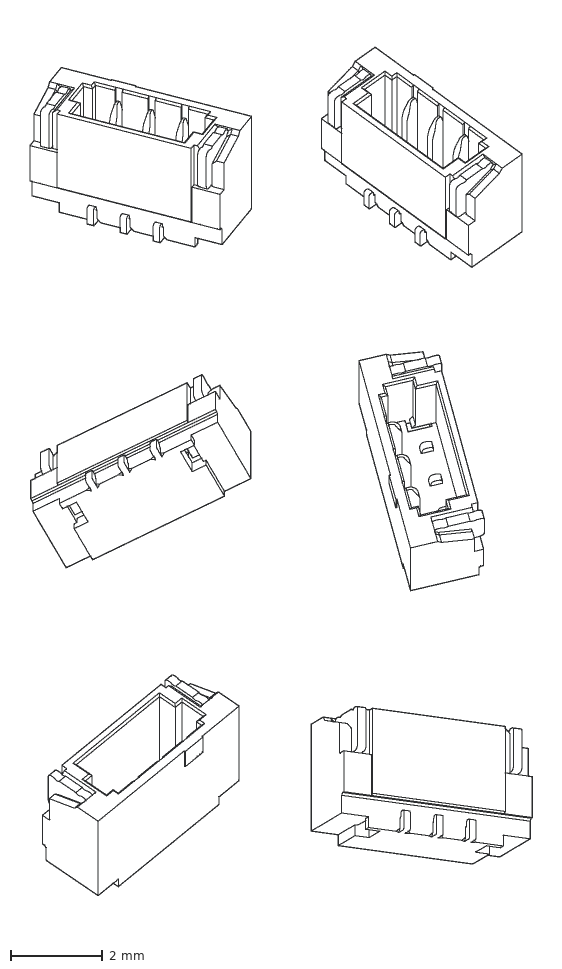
import cadquery as cq


length = 4.6
depth = 1.78
height = 2.7
foot_height = 0.25
foot_half = 1.64
core_front = -1.555
shelf_front = -1.66
shelf_top = 1.645
wall_front = -1.7
wall_half = 1.62
wall_edge_break = 0.04
overhang_z = 0.71
overhang_back = core_front - wall_edge_break
overhang_foot_z = 0.655

rib_left = -1.095
rib_width = 0.585
rib_height = 0.5
rib_depth = 0.028

floor_z = 0.46
narrow_half = 1.355
wide_half = 1.575
cavity_back = -0.26
cavity_front = -1.51
wide_back = -0.415
wide_front = -1.04
mouth_break = 0.05

opening_inner = 1.295
opening_back = -0.86
opening_front = -1.405
ramp_reach = 0.085
ramp_rise = 0.14

pocket_back = -0.615
slot_inner = 1.8
slot_outer = 2.01
lead_in = 0.1
cheek_break_width = 0.105
cheek_knee = (-0.705, 2.6)
cheek_nose = (-1.455, 2.35)
clip_inner = slot_inner
clip_width = 0.205
clip_front = rib_depth - depth
clip_bottom = 1.7
clip_top_radius = 0.09
clip_bottom_radius = 0.14
clip_back_radius = 0.085
dimple_starts = ((-0.75, -1), (-1.605, 1))
dimple_lip = 0.055
dimple_lip_drop = 0.02
dimple_lip_radius = 0.09
dimple_deepest = 0.1
dimple_length = 0.18
dimple_depth = 0.03

pitch = 0.8
pin_xs = (-pitch, 0, pitch)
pin_width = 0.155
groove_width = 0.175
groove_back = -0.21
blade_front = -0.58
blade_top = 2.405
blade_shoulder_z = 2.14
blade_straight_z = 1.84
tip_rear_low = (-0.25, 2.355)
tip_rear_high = (-0.3, blade_top)
tip_rear_radius = 0.055
tip_front_high = (-0.345, blade_top)
tip_front_low = (-0.432, 2.328)
tip_front_radius = 0.1
blade_nose = (-0.5, 2.155)
blade_bulge = (-0.555, 2.0)
blade_break_width = 0.05
contact_back = -1.007
contact_front = -1.293
contact_top = 0.69
contact_lean = 0.028
contact_back_radius = 0.1
contact_front_radius = 0.13
tail_back = -1.6
tail_top = 0.46
tail_step_z = 0.317
tail_radius = 0.06
tail_toe_radius = 0.045
tail_heel_radius = 0.045
flare_half = 0.17
flare_height = 0.087
flare_depth = 0.07
flare_angle = 45

clear = 0.23


def box(x0, x1, y0, y1, z0, z1):
    return cq.Workplane("XY").box(x1 - x0, y1 - y0, z1 - z0, centered=False).translate((x0, y0, z0))


def side_profile(x0, x1, points):
    """Prism along X with a (y, z) outline."""
    return cq.Workplane("YZ").workplane(offset=x0).polyline(points).close().extrude(x1 - x0)


def both_ends(solid):
    return solid.union(solid.mirror("YZ"))


def make_shell():
    half = length / 2
    core = box(-half, half, core_front, 0, foot_height, height)
    foot = box(-foot_half, foot_half, core_front, 0, 0, foot_height)
    shelf = side_profile(-half, half, [
        (core_front, overhang_foot_z),
        (overhang_back, overhang_z),
        (shelf_front, overhang_z),
        (shelf_front, shelf_top),
        (core_front, shelf_top),
    ])
    wall = side_profile(-wall_half, wall_half, [
        (core_front, overhang_foot_z),
        (overhang_back, overhang_z),
        (wall_front + wall_edge_break, overhang_z),
        (wall_front, overhang_z + wall_edge_break),
        (wall_front, height),
        (core_front, height),
    ])
    rib = box(rib_left, rib_left + rib_width, 0, rib_depth, height - rib_height, height)
    return core.union(foot).union(shelf).union(wall).union(rib)


def cavity_points(grow):
    """Cross-shaped cavity section in (x, y), enlarged all round by grow."""
    narrow = narrow_half + grow
    wide = wide_half + grow
    step_front = wide_front - grow
    step_back = wide_back + grow
    right = [
        (narrow, cavity_front - grow),
        (narrow, step_front),
        (wide, step_front),
        (wide, step_back),
        (narrow, step_back),
        (narrow, cavity_back + grow),
    ]
    left = [(-x, y) for x, y in reversed(right)]
    return right + left


def make_cavity():
    bore = cq.Workplane("XY").workplane(offset=floor_z).polyline(cavity_points(0)).close()
    bore = bore.extrude(height - floor_z)
    mouth = (
        cq.Workplane("XY").workplane(offset=height - mouth_break)
        .polyline(cavity_points(0)).close()
        .workplane(offset=mouth_break)
        .polyline(cavity_points(mouth_break)).close()
        .loft(ruled=True)
    )
    return bore.union(mouth)


def make_floor_opening():
    """Opening through the floor, widening to a notch in the end of the foot."""
    return (
        box(opening_inner, wide_half, opening_front, opening_back, 0, floor_z)
        .union(box(opening_inner, foot_half, opening_front, opening_back, 0, foot_height))
    )


def make_ramp():
    """Sloped ledge on the rear face of each front corner, just above the floor opening."""
    return side_profile(narrow_half, wide_half, [
        (wide_front, floor_z),
        (wide_front + ramp_reach, floor_z),
        (wide_front, floor_z + ramp_rise),
    ])


def make_pocket():
    """Clip slot with lead-in edges, and the sloped cheek outside it."""
    half = length / 2
    above = height + clear
    before = clip_front - clear
    cheek_x = slot_outer + cheek_break_width

    slot = box(slot_inner, slot_outer, before, pocket_back, shelf_top, above)
    cheek_front = box(slot_outer, half, before, cheek_nose[0], shelf_top, above)
    cheek = [
        (pocket_back, above),
        (pocket_back, height),
        cheek_knee,
        cheek_nose,
        (cheek_nose[0], above),
    ]
    cheek_top = side_profile(slot_outer, half, cheek)

    lowered = [(y, z - lead_in) for y, z in cheek]
    cheek_edge = (
        cq.Workplane("YZ").workplane(offset=slot_outer)
        .polyline(lowered).close()
        .workplane(offset=cheek_x - slot_outer)
        .polyline(cheek).close()
        .loft(ruled=True)
    )
    inner_edge = (
        cq.Workplane("XZ").workplane(offset=-pocket_back)
        .polyline([
            (slot_inner - lead_in, height),
            (slot_inner, height),
            (slot_inner, height - lead_in),
        ]).close()
        .extrude(pocket_back - before)
    )
    return slot.union(cheek_front).union(cheek_top).union(cheek_edge).union(inner_edge)


def make_clip():
    clip = box(clip_inner, clip_inner + clip_width, clip_front, pocket_back, clip_bottom, height)
    clip = clip.edges("|X and <Y and >Z").fillet(clip_top_radius)
    clip = clip.edges("|X and <Y and <Z").fillet(clip_bottom_radius)
    clip = clip.edges("|X and >Y and >Z").fillet(clip_back_radius)
    for start, toward in dimple_starts:
        dimple = (
            cq.Workplane("YZ").workplane(offset=clip_inner)
            .moveTo(start, height)
            .radiusArc((start + toward * dimple_lip, height - dimple_lip_drop), toward * dimple_lip_radius)
            .threePointArc(
                (start + toward * dimple_deepest, height - dimple_depth),
                (start + toward * dimple_length, height),
            )
            .close()
            .extrude(clip_width)
        )
        clip = clip.cut(dimple)
    return clip


def make_groove(x):
    """Guide groove in the rear cavity wall behind a terminal."""
    half = groove_width / 2
    return box(x - half, x + half, cavity_back - mouth_break, groove_back, floor_z, height)


def make_tail_flare(x):
    """Tapered lead-in at the foot of the front face, around a solder tail."""
    half = pin_width / 2
    upper = [(x + flare_half, 0), (x + half, flare_height), (x - half, flare_height), (x - flare_half, 0)]
    lower = [(x - half, -flare_height), (x + half, -flare_height)]
    return (
        cq.Workplane("XZ").workplane(offset=-core_front)
        .polyline(upper + lower).close()
        .extrude(-flare_depth, taper=flare_angle)
    )


def make_terminal(x):
    left = x - pin_width / 2
    plane = cq.Workplane("YZ").workplane(offset=left)

    blade = (
        plane.moveTo(groove_back, 0)
        .lineTo(groove_back, blade_shoulder_z)
        .lineTo(*tip_rear_low)
        .radiusArc(tip_rear_high, -tip_rear_radius)
        .lineTo(*tip_front_high)
        .radiusArc(tip_front_low, -tip_front_radius)
        .lineTo(*blade_nose)
        .threePointArc(blade_bulge, (blade_front, blade_straight_z))
        .lineTo(blade_front, 0)
        .close()
        .extrude(pin_width)
    )
    crest = pin_width / 2 - blade_break_width
    for side in (-1, 1):
        flank = (
            cq.Workplane("XZ").workplane(offset=-groove_back)
            .polyline([
                (x + side * pin_width / 2, blade_shoulder_z),
                (x + side * crest, blade_top),
                (x + side * pin_width / 2, blade_top),
            ])
            .close()
            .extrude(groove_back - blade_front)
        )
        blade = blade.cut(flank)

    contact = (
        plane.moveTo(contact_back, floor_z)
        .lineTo(contact_back - contact_lean, contact_top - contact_back_radius)
        .radiusArc((contact_back - contact_lean - contact_back_radius, contact_top), -contact_back_radius)
        .lineTo(contact_front + contact_front_radius, contact_top)
        .radiusArc((contact_front, contact_top - contact_front_radius), -contact_front_radius)
        .lineTo(contact_front, floor_z)
        .close()
        .extrude(pin_width)
    )

    base = box(left, left + pin_width, core_front, blade_front, 0, tail_step_z)
    toe = box(left, left + pin_width, clip_front, tail_back, 0, tail_top)
    toe = toe.edges("|X and >Z").fillet(tail_radius)
    toe = toe.edges("|X and <Z and <Y").fillet(tail_toe_radius)
    heel = (
        plane.moveTo(tail_back, 0)
        .lineTo(tail_back, tail_step_z + tail_heel_radius)
        .radiusArc((core_front, tail_step_z), -tail_heel_radius)
        .lineTo(core_front, 0)
        .close()
        .extrude(pin_width)
    )
    return blade.union(contact).union(base).union(toe).union(heel)


housing = make_shell().cut(make_cavity())
housing = housing.union(both_ends(make_ramp()))
housing = housing.cut(both_ends(make_floor_opening()))
housing = housing.cut(both_ends(make_pocket()))
for pin_x in pin_xs:
    housing = housing.cut(make_groove(pin_x))
    housing = housing.cut(make_tail_flare(pin_x))

result = housing.union(both_ends(make_clip()))
for pin_x in pin_xs:
    result = result.union(make_terminal(pin_x))